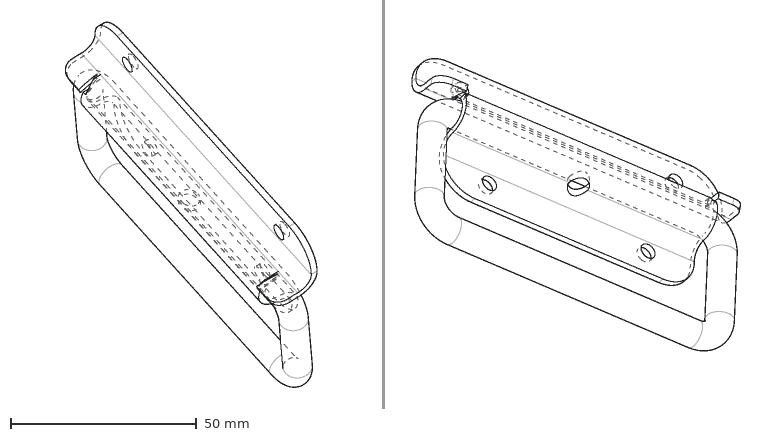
import cadquery as cq
import math


sheet = 2.0
outer_radius = 6.5
inner_radius = outer_radius - sheet
pivot_y = -outer_radius
bend_z = outer_radius + inner_radius

upper_width = 100.1
lower_width = 82.2
upper_top = 21.5
lower_bottom = -upper_top
flange_corner = 10.3

screw_hole = 4.5
upper_hole_spacing = 70.0
upper_hole_z = 13.9
lower_hole_spacing = 51.9
lower_hole_z = -14.1

tab_radius = 22.7
tab_front = -13.7
tab_corner = 4.1

relief_apex_x = 41.8
relief_apex_y = -7.1
relief_inner_x = 40.1
relief_inner_y = -11.5
relief_floor = 3.1

drain_hole = 6.0

rod_diameter = 8.0
bail_width = 103.0
bail_drop = 38.0
bail_bend = 8.0
bail_tilt = 3.5


def arc_point(center_y, center_z, radius, degrees):
    """Point on a circle in the YZ plane, angle measured from +Y towards +Z."""
    angle = math.radians(degrees)
    return (center_y + radius * math.cos(angle), center_z + radius * math.sin(angle))


def extrude_across(profile, width):
    """Extrude a YZ profile symmetrically about X = 0."""
    return profile.extrude(width / 2, both=True)


def make_upper_flange():
    """Upper flange and the bend that brings the sheet forward."""
    profile = (
        cq.Workplane("YZ")
        .moveTo(0, upper_top)
        .lineTo(0, bend_z)
        .threePointArc(arc_point(pivot_y, bend_z, outer_radius, -45), (pivot_y, inner_radius))
        .lineTo(pivot_y, outer_radius)
        .threePointArc(arc_point(pivot_y, bend_z, inner_radius, -45), (-sheet, bend_z))
        .lineTo(-sheet, upper_top)
        .close()
    )
    flange = extrude_across(profile, upper_width)
    return flange.edges("|Y and >Z").fillet(flange_corner)


def make_curl_and_lower_flange():
    """Half-round curl, reverse bend and lower flange."""
    profile = (
        cq.Workplane("YZ")
        .moveTo(pivot_y, outer_radius)
        .threePointArc((pivot_y - outer_radius, 0), (pivot_y, -outer_radius))
        .threePointArc(arc_point(pivot_y, -bend_z, inner_radius, 45), (-sheet, -bend_z))
        .lineTo(-sheet, lower_bottom)
        .lineTo(0, lower_bottom)
        .lineTo(0, -bend_z)
        .threePointArc(arc_point(pivot_y, -bend_z, outer_radius, 45), (pivot_y, -inner_radius))
        .threePointArc((pivot_y - inner_radius, 0), (pivot_y, inner_radius))
        .close()
    )
    lower = extrude_across(profile, lower_width)
    return lower.edges("|Y and <Z").fillet(flange_corner)


def make_tabs():
    """Drooping tabs outside the curl, with their outer front corners rounded."""
    center_z = outer_radius - tab_radius
    under_radius = tab_radius - sheet
    end_angle = 90 + math.degrees(math.asin((pivot_y - tab_front) / tab_radius))
    middle_angle = (90 + end_angle) / 2
    profile = (
        cq.Workplane("YZ")
        .moveTo(pivot_y, outer_radius)
        .threePointArc(
            arc_point(pivot_y, center_z, tab_radius, middle_angle),
            arc_point(pivot_y, center_z, tab_radius, end_angle),
        )
        .lineTo(*arc_point(pivot_y, center_z, under_radius, end_angle))
        .threePointArc(
            arc_point(pivot_y, center_z, under_radius, middle_angle),
            (pivot_y, inner_radius),
        )
        .close()
    )
    strip = extrude_across(profile, upper_width)
    strip = strip.faces("<Y").edges("not |X").fillet(tab_corner)
    between_tabs = cq.Workplane("XY").rect(lower_width, -2 * tab_front).extrude(outer_radius)
    return strip.cut(between_tabs)


def make_relief(side):
    """Triangular tear cutter; side is -1 or 1 for the end it belongs to."""
    return (
        cq.Workplane("XY")
        .workplane(offset=relief_floor)
        .moveTo(side * relief_apex_x, relief_apex_y)
        .lineTo(side * lower_width / 2, tab_front)
        .lineTo(side * relief_inner_x, tab_front)
        .lineTo(side * relief_inner_x, relief_inner_y)
        .close()
        .extrude(outer_radius)
    )


def make_screw_holes():
    """Cutters for the four mounting holes."""
    centers = [
        (side * spacing / 2, z)
        for spacing, z in ((upper_hole_spacing, upper_hole_z), (lower_hole_spacing, lower_hole_z))
        for side in (-1, 1)
    ]
    return cq.Workplane("XZ").pushPoints(centers).circle(screw_hole / 2).extrude(2 * sheet, both=True)


def make_plate():
    """The complete bent plate."""
    plate = make_upper_flange().union(make_curl_and_lower_flange()).union(make_tabs())
    for side in (-1, 1):
        plate = plate.cut(make_relief(side))
    drain = cq.Workplane("XY").center(0, pivot_y).circle(drain_hole / 2).extrude(-bend_z)
    return plate.cut(make_screw_holes()).cut(drain)


def make_bail():
    """Closed round-bar loop with one side running through the curl."""
    leg_x = (bail_width - rod_diameter) / 2
    straight_x = leg_x - bail_bend
    corner = bail_bend * (1 - math.sqrt(0.5))
    path = (
        cq.Workplane("XZ")
        .moveTo(0, 0)
        .lineTo(straight_x, 0)
        .threePointArc((leg_x - corner, -corner), (leg_x, -bail_bend))
        .lineTo(leg_x, bail_bend - bail_drop)
        .threePointArc((leg_x - corner, corner - bail_drop), (straight_x, -bail_drop))
        .lineTo(-straight_x, -bail_drop)
        .threePointArc((corner - leg_x, corner - bail_drop), (-leg_x, bail_bend - bail_drop))
        .lineTo(-leg_x, -bail_bend)
        .threePointArc((corner - leg_x, -corner), (-straight_x, 0))
        .close()
    )
    bail = cq.Workplane("YZ").circle(rod_diameter / 2).sweep(path)
    return bail.rotate((0, 0, 0), (1, 0, 0), bail_tilt).translate((0, pivot_y, 0))


plate = make_plate()
bail = make_bail()

result = cq.Compound.makeCompound([plate.solids().val(), bail.solids().val()])